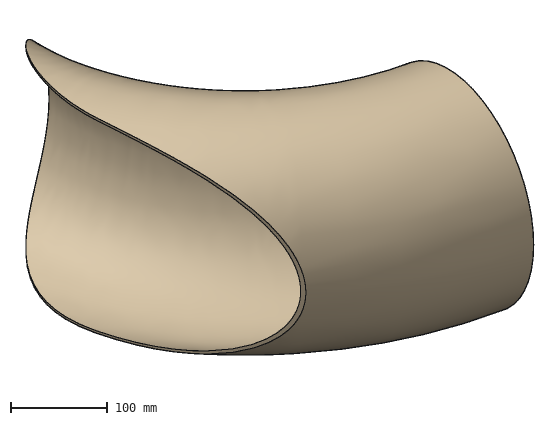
import cadquery as cq
import math

pipe_diameter = 273.0
wall_thickness = 3.0
bend_radius = 381.0
bend_angle = 90.0
toe_arc_radius = 190.0
toe_arc_lowest_y = -355.13
saddle_start_x = 226.86
cut_clearance = 20.0

pipe_radius = pipe_diameter / 2
bore_radius = pipe_radius - wall_thickness
inner_bend_radius = bend_radius - pipe_radius
outer_bend_radius = bend_radius + pipe_radius

toe_arc_center_y = toe_arc_lowest_y + toe_arc_radius
toe_rise = toe_arc_center_y + inner_bend_radius
toe_arc_center_x = math.sqrt(toe_arc_radius**2 - toe_rise**2)
toe_arc_start_x = toe_arc_center_x - toe_arc_radius

saddle_width = 4 * bend_radius
saddle_end_x = outer_bend_radius + cut_clearance


def saddle_y(x):
    """Y of the saddle parabola at a given X."""
    return x**2 / saddle_width - bend_radius


def bent_bar(radius):
    """Solid quarter bend from the +X axis round to the -Y axis."""
    return (
        cq.Workplane("XZ")
        .center(bend_radius, 0)
        .circle(radius)
        .revolve(bend_angle, (-bend_radius, 0, 0), (-bend_radius, -1, 0))
    )


def end_cutter():
    """Everything below the toe arc and saddle parabola, through the full height of the pipe."""
    saddle_start = (saddle_start_x, saddle_y(saddle_start_x))
    saddle_end = (saddle_end_x, saddle_y(saddle_end_x))
    control_point = (
        (saddle_start_x + saddle_end_x) / 2,
        saddle_start_x * saddle_end_x / saddle_width - bend_radius,
    )
    return (
        cq.Workplane("XY")
        .moveTo(toe_arc_start_x, toe_arc_center_y)
        .threePointArc((toe_arc_center_x, toe_arc_lowest_y), saddle_start)
        .bezier([saddle_start, control_point, saddle_end])
        .lineTo(saddle_end_x, -outer_bend_radius - cut_clearance)
        .lineTo(toe_arc_start_x, -outer_bend_radius - cut_clearance)
        .close()
        .extrude(pipe_radius + cut_clearance, both=True)
    )


elbow = bent_bar(pipe_radius).cut(bent_bar(bore_radius))
result = elbow.cut(end_cutter()).solids()